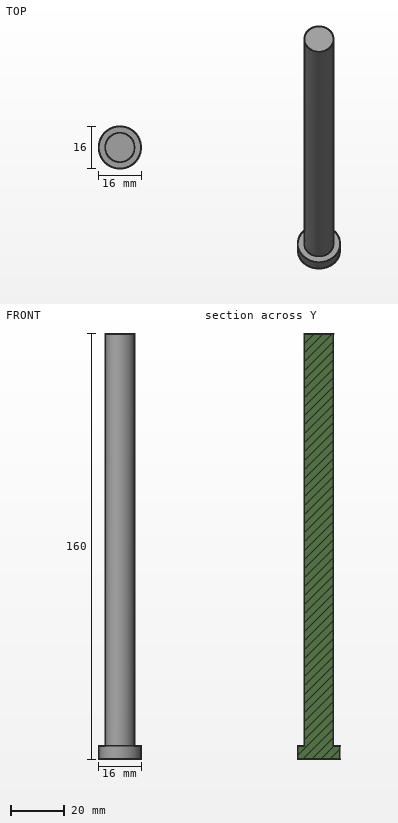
import cadquery as cq

total_length = 160.0
head_diameter = 16.0
head_height = 5.0
shank_diameter = 11.0
shank_length = total_length - head_height

head = cq.Workplane("XY").circle(head_diameter / 2).extrude(head_height)

result = head.faces(">Z").workplane().circle(shank_diameter / 2).extrude(shank_length)